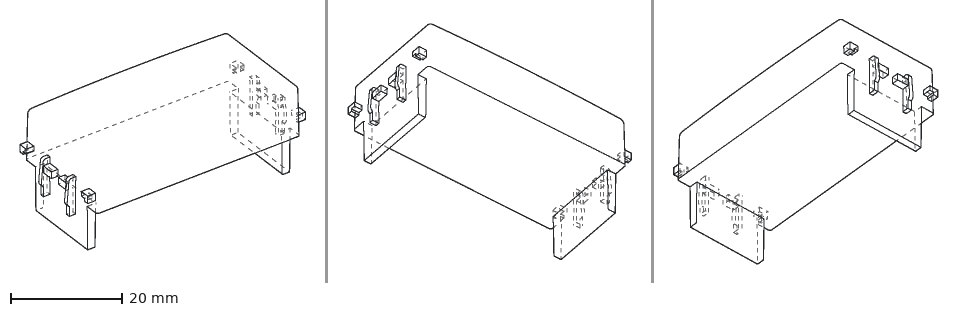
import cadquery as cq

body_width = 22.3
body_length = 44.75
body_height = 11.25
body_draft = 0.9
crown_drop = 0.5
side_round = 0.5
end_round = 1.0

plate_width = 16.1
plate_depth = 9.35
plate_thickness = 1.9
plate_tip_thickness = 1.65
plate_outer_lean = 0.1
plate_tip_round = 0.25

latch_reach = 24.22
lug_reach = 24.05
block_reach = 23.8

lug_outer_x = 10.5
lug_inner_x = 8.58
lug_step_x = 9.5
lug_top = 4.1
lug_step_z = 3.1
lug_bottom = 2.5

latch_outer_x = 4.4
latch_width = 0.8
latch_top = 4.45
latch_bottom = -3.55
latch_top_flat_y = 23.2
latch_shoulder = (23.85, 3.95)
latch_bump_z = -0.6
latch_bump_middle = (24.1, -1.05)
latch_foot = (23.75, -1.45)

block_inner_x = 1.1
block_top = 3.1
block_bottom = 1.65

half_length = body_length / 2
root_y = half_length - plate_thickness / 2


def make_body():
    blank = cq.Workplane("XY").rect(body_width, body_length).extrude(body_height, taper=body_draft)
    shoulder_z = body_height - crown_drop
    crown = (
        cq.Workplane("YZ")
        .moveTo(-half_length, 0)
        .lineTo(-half_length, shoulder_z)
        .threePointArc((0, body_height), (half_length, shoulder_z))
        .lineTo(half_length, 0)
        .close()
        .extrude(body_width / 2, both=True)
    )
    body = blank.intersect(crown)
    body = body.faces(">Z").edges("|X").fillet(end_round)
    side_edges = body.faces("<X or >X").edges("not <Z")
    return side_edges.fillet(side_round)


def make_plate():
    tip_outer_y = half_length - plate_outer_lean
    profile = [
        (half_length, 0),
        (tip_outer_y, -plate_depth),
        (tip_outer_y - plate_tip_thickness, -plate_depth),
        (half_length - plate_thickness, 0),
    ]
    plate = cq.Workplane("YZ").polyline(profile).close().extrude(plate_width / 2, both=True)
    return plate.faces("<Z").edges("<Y").fillet(plate_tip_round)


def make_lug():
    outline = [
        (lug_outer_x, lug_top),
        (lug_inner_x, lug_top),
        (lug_inner_x, lug_step_z),
        (lug_step_x, lug_step_z),
        (lug_step_x, lug_bottom),
        (lug_outer_x, lug_bottom),
    ]
    lug = cq.Workplane("XZ", origin=(0, root_y, 0)).polyline(outline).close()
    return lug.extrude(root_y - lug_reach)


def make_latch():
    return (
        cq.Workplane("YZ", origin=(latch_outer_x - latch_width, 0, 0))
        .moveTo(root_y, latch_top)
        .lineTo(latch_top_flat_y, latch_top)
        .tangentArcPoint(latch_shoulder, relative=False)
        .lineTo(latch_reach, latch_bump_z)
        .threePointArc(latch_bump_middle, latch_foot)
        .lineTo(latch_foot[0], latch_bottom)
        .lineTo(root_y, latch_bottom)
        .close()
        .extrude(latch_width)
    )


def make_block():
    block_size_x = latch_outer_x - latch_width - block_inner_x
    block_size_y = block_reach - root_y
    block = cq.Workplane("XY", origin=(block_inner_x, root_y, block_bottom))
    return block.box(block_size_x, block_size_y, block_top - block_bottom, centered=False)


quarter = make_lug().union(make_latch()).union(make_block())
end_parts = make_plate().union(quarter).union(quarter.mirror("YZ"))
result = make_body().union(end_parts).union(end_parts.mirror("XZ"))